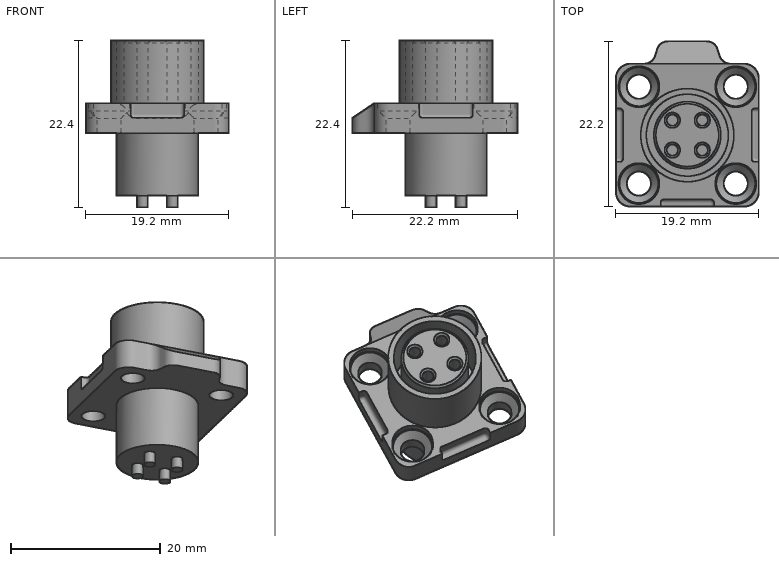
import cadquery as cq

PLATE_SIDE = 19.2
PLATE_THICKNESS = 4.0
PLATE_CORNER_RADIUS = 2.0

TAB_LENGTH = 3.0
TAB_TIP_WIDTH = 7.44
TAB_ROOT_WIDTH = 9.35
TAB_TIP_THICKNESS = 2.0
TAB_BLEND_RADIUS = 1.5

SOCKET_HEIGHT = 8.4
SOCKET_DIAMETER = 12.5
SOCKET_BORE = 11.0
CORE_DIAMETER = 9.0
CORE_CHAMFER = 0.3

LOWER_BODY_HEIGHT = 8.4
LOWER_BODY_DIAMETER = SOCKET_BORE

CONTACT_SPACING = 4.0
CONTACT_DIAMETER = 1.5
CONTACT_CHAMFER = 0.3
PIN_LENGTH = 1.6

SCREW_SPACING = 13.0
SCREW_HOLE_DIAMETER = 3.2
SCREW_CONE_DIAMETER = 5.2
SCREW_RECESS_DIAMETER = 5.5
SCREW_RECESS_DEPTH = 1.0
SCREW_CONE_DEPTH = (SCREW_CONE_DIAMETER - SCREW_HOLE_DIAMETER) / 2

NOTCH_WIDTH = 7.2
NOTCH_DEPTH = 0.99
NOTCH_HEIGHT = 2.0
NOTCH_RADIUS = 0.5

HALF_SIDE = PLATE_SIDE / 2
SOCKET_TOP = PLATE_THICKNESS + SOCKET_HEIGHT
LOWER_BODY_BOTTOM = -LOWER_BODY_HEIGHT


def cylinder(diameter, bottom, height):
    """Upright cylinder on the Z axis."""
    return cq.Workplane("XY").workplane(offset=bottom).circle(diameter / 2).extrude(height)


def revolved(profile):
    """Solid of revolution about the Z axis from (radius, height) points."""
    return cq.Workplane("XZ").polyline(profile).close().revolve(360, (0, 0), (0, 1))


def at_square_corners(shape, spacing):
    """Copies of a shape moved to the corners of a square around the Z axis."""
    half = spacing / 2
    copies = cq.Workplane("XY")
    for x in (-half, half):
        for y in (-half, half):
            copies = copies.add(shape.translate((x, y, 0)))
    return copies.combine()


def round_corners(plate, corners, radius):
    """Round the plate's upright edges at the given (x, y) corners."""
    for x, y in corners:
        corner_edge = cq.selectors.NearestToPointSelector((x, y, PLATE_THICKNESS / 2))
        plate = plate.edges(corner_edge).fillet(radius)
    return plate


def make_plate():
    """Square plate with rounded corners and the blended, sloping tab."""
    tip_y = HALF_SIDE + TAB_LENGTH
    tip_corners = [(side * TAB_TIP_WIDTH / 2, tip_y) for side in (1, -1)]
    root_corners = [(side * TAB_ROOT_WIDTH / 2, HALF_SIDE) for side in (1, -1)]
    square_corners = [(x * HALF_SIDE, y * HALF_SIDE) for x, y in ((-1, 1), (-1, -1), (1, -1), (1, 1))]
    outline = [root_corners[0], *tip_corners, root_corners[1], *square_corners]
    plate = cq.Workplane("XY").polyline(outline).close().extrude(PLATE_THICKNESS)
    plate = round_corners(plate, tip_corners + root_corners, TAB_BLEND_RADIUS)
    plate = round_corners(plate, square_corners, PLATE_CORNER_RADIUS)

    above_tab = (
        cq.Workplane("YZ")
        .polyline([(HALF_SIDE, PLATE_THICKNESS), (tip_y, PLATE_THICKNESS), (tip_y, TAB_TIP_THICKNESS)])
        .close()
        .extrude(HALF_SIDE, both=True)
    )
    return plate.cut(above_tab)


def make_notches():
    """Rounded blocks centred on the plate's top edges, so that a quarter of each cuts in."""
    block = cq.Workplane("XY").box(2 * NOTCH_DEPTH, NOTCH_WIDTH, 2 * NOTCH_HEIGHT)
    block = block.edges().fillet(NOTCH_RADIUS).translate((HALF_SIDE, 0, PLATE_THICKNESS))
    notches = block
    for angle in (180, 270):
        notches = notches.union(block.rotate((0, 0, 0), (0, 0, 1), angle))
    return notches


def make_screw_holes():
    """Through holes, each widening by a cone into a cylindrical recess at the top."""
    cone_top = PLATE_THICKNESS - SCREW_RECESS_DEPTH
    profile = [
        (0, 0),
        (SCREW_HOLE_DIAMETER / 2, 0),
        (SCREW_HOLE_DIAMETER / 2, cone_top - SCREW_CONE_DEPTH),
        (SCREW_CONE_DIAMETER / 2, cone_top),
        (SCREW_RECESS_DIAMETER / 2, cone_top),
        (SCREW_RECESS_DIAMETER / 2, PLATE_THICKNESS),
        (0, PLATE_THICKNESS),
    ]
    return at_square_corners(revolved(profile), SCREW_SPACING)


def make_socket():
    """Tube and chamfered core, both flush at the top, with the groove reaching the plate."""
    tube = cylinder(SOCKET_DIAMETER, PLATE_THICKNESS, SOCKET_HEIGHT)
    bore = cylinder(SOCKET_BORE, PLATE_THICKNESS, SOCKET_HEIGHT)
    core = cylinder(CORE_DIAMETER, PLATE_THICKNESS, SOCKET_HEIGHT)
    core = core.faces(">Z").chamfer(CORE_CHAMFER).cut(make_contact_holes())
    return tube.cut(bore).union(core)


def make_contact_holes():
    """Holes down the full height of the core, each with a chamfered mouth."""
    radius = CONTACT_DIAMETER / 2
    profile = [
        (0, PLATE_THICKNESS),
        (radius, PLATE_THICKNESS),
        (radius, SOCKET_TOP - CONTACT_CHAMFER),
        (radius + CONTACT_CHAMFER, SOCKET_TOP),
        (0, SOCKET_TOP),
    ]
    return at_square_corners(revolved(profile), CONTACT_SPACING)


def make_lower_body():
    """Round body under the plate with the four pins below it."""
    body = cylinder(LOWER_BODY_DIAMETER, LOWER_BODY_BOTTOM, LOWER_BODY_HEIGHT)
    pin = cylinder(CONTACT_DIAMETER, LOWER_BODY_BOTTOM - PIN_LENGTH, PIN_LENGTH)
    return body.union(at_square_corners(pin, CONTACT_SPACING))


flange = make_plate().cut(make_notches()).cut(make_screw_holes())
result = flange.union(make_socket()).union(make_lower_body())